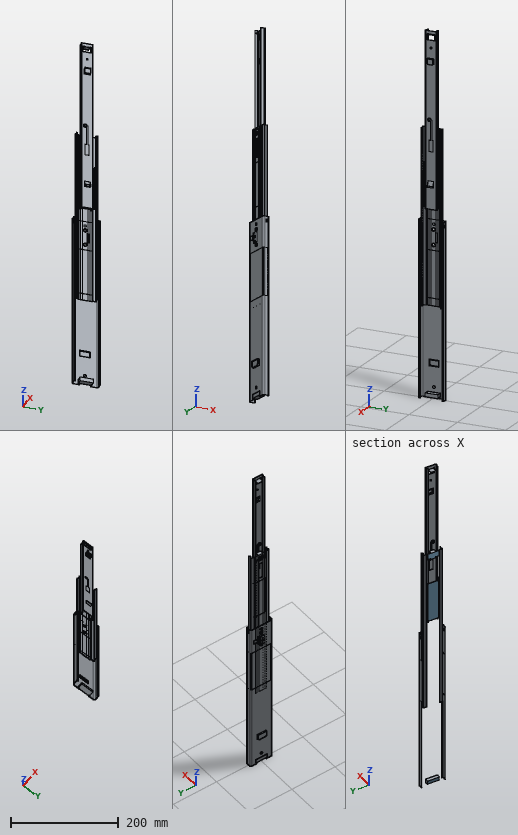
import cadquery as cq

SHEET = 1.2
RAIL_LENGTH = 351.0
FULL_LENGTH = 725.0
MIDDLE_TOP = 532.0

OUTER_BACK = -6.4
OUTER_FRONT = 6.3
OUTER_HALF = 26.0
MIDDLE_BACK = -4.0
MIDDLE_FRONT = 6.15
MIDDLE_HALF = 21.0
MIDDLE_WEB_HALF = 13.0
INNER_BACK = -2.0
INNER_FRONT = 7.0
INNER_HALF = 11.5
FULL_WIDTH = 22.5
HOOK_REACH = FULL_WIDTH / 2

OUTER_INSIDE = OUTER_BACK + SHEET
MIDDLE_INSIDE = MIDDLE_BACK + SHEET
INNER_INSIDE = INNER_FRONT - SHEET
MIDDLE_BOTTOM = MIDDLE_TOP - RAIL_LENGTH
INNER_BOTTOM = FULL_LENGTH - RAIL_LENGTH
CUT_MARGIN = 1.0

ACCESS_HOLES_Z = (331.0, 301.0)
ACCESS_HOLE_DIAMETER = 6.5


def span_box(x_span, y_span, z_span):
    """Box given by its limits along the three axes."""
    (x0, x1), (y0, y1), (z0, z1) = x_span, y_span, z_span
    return cq.Workplane("XY").box(x1 - x0, y1 - y0, z1 - z0, centered=False).translate((x0, y0, z0))


def mirrored_bar(half_outline, bottom, length):
    """Extrude the +Y half of a profile along Z and join it to its mirror image."""
    half = half_outline.close().extrude(length).translate((0, 0, bottom))
    return half.union(half.mirror("XZ")).clean()


def web_cut(web_back, y_half, z_span):
    """Rectangular cutter through a web, centred on Y = 0."""
    x_span = (web_back - CUT_MARGIN, web_back + SHEET + CUT_MARGIN)
    return span_box(x_span, (-y_half, y_half), z_span)


def web_hole(web_back, diameter, z):
    """Round cutter through a web, centred on Y = 0."""
    hole = cq.Workplane("YZ").center(0, z).circle(diameter / 2).extrude(SHEET + 2 * CUT_MARGIN)
    return hole.translate((web_back - CUT_MARGIN, 0, 0))


def hook(face_x, tip_x, half_width, z_span):
    """L-shaped hook: a root at the upper end, carrying a plate that points down."""
    bottom, top = z_span
    plate_x = tip_x - SHEET if tip_x > face_x else tip_x + SHEET
    root = span_box(sorted((face_x, tip_x)), (-half_width, half_width), (top - SHEET, top))
    plate = span_box(sorted((plate_x, tip_x)), (-half_width, half_width), (bottom, top))
    return root.union(plate.edges("|X and <Z").chamfer(half_width / 4))


BEND_RADIUS = 3.5
OUTER_LIP_EDGE = 22.5
SCREW_HOLES_Z = (341.5, 21.0)
SCREW_HOLE_DIAMETER = 5.0
END_NOTCH_HALF = 11.0
STOP_HALF = 13.0
STOP_BOTTOM = 3.0
END_NOTCH_HEIGHT = 11.0
LOWER_HOOK_Z = (61.5, 75.0)
LOWER_HOOK_HALF = 10.0
LOWER_HOOK_TIP = -9.5
PRONG_Y = (-4.0, 1.8)
PRONG_Z = (306.0, 325.5)
PRONG_CHAMFER = 2.0
PRONG_SLOT_WIDTH = 3.0
PRONG_SLOT_DEPTH = 1.8
LANCE_SLOT_Y = (3.5, 8.0)
PAD_Y = (11.0, 19.0)
PAD_Z = (314.0, 322.0)
SIDE_WINDOW_X = (0.0, 3.0)
SIDE_WINDOW_Z = (340.0, 345.0)
PAD_HEIGHT = 1.5


def outer_channel():
    """C channel with a flat web on -X, rounded bends and inward lips on +X."""
    inner_radius = BEND_RADIUS - SHEET
    wall = OUTER_HALF - SHEET
    outline = (
        cq.Workplane("XY")
        .moveTo(OUTER_BACK, 0)
        .lineTo(OUTER_BACK, OUTER_HALF - BEND_RADIUS)
        .radiusArc((OUTER_BACK + BEND_RADIUS, OUTER_HALF), BEND_RADIUS)
        .lineTo(OUTER_FRONT, OUTER_HALF)
        .lineTo(OUTER_FRONT, OUTER_LIP_EDGE)
        .lineTo(OUTER_FRONT - SHEET, OUTER_LIP_EDGE)
        .lineTo(OUTER_FRONT - SHEET, wall)
        .lineTo(OUTER_INSIDE + inner_radius, wall)
        .radiusArc((OUTER_INSIDE, wall - inner_radius), -inner_radius)
        .lineTo(OUTER_INSIDE, 0)
    )
    return mirrored_bar(outline, 0, RAIL_LENGTH)


def prong():
    """Upright bayonet prong on the outer web, slotted at the middle of its tip."""
    block = span_box((-HOOK_REACH, OUTER_BACK), PRONG_Y, PRONG_Z)
    block = block.edges("|Y and <X").chamfer(PRONG_CHAMFER)
    middle_z = sum(PRONG_Z) / 2
    slot_z = (middle_z - PRONG_SLOT_WIDTH / 2, middle_z + PRONG_SLOT_WIDTH / 2)
    return block.cut(span_box((-HOOK_REACH, PRONG_SLOT_DEPTH - HOOK_REACH), PRONG_Y, slot_z))


def make_outer_rail():
    rail = outer_channel()
    for z in ACCESS_HOLES_Z:
        rail = rail.cut(web_hole(OUTER_BACK, ACCESS_HOLE_DIAMETER, z))
    for z in SCREW_HOLES_Z:
        rail = rail.cut(web_hole(OUTER_BACK, SCREW_HOLE_DIAMETER, z))
    rail = rail.cut(web_cut(OUTER_BACK, END_NOTCH_HALF, (0, STOP_BOTTOM)))
    rail = rail.cut(web_cut(OUTER_BACK, STOP_HALF, (STOP_BOTTOM, END_NOTCH_HEIGHT)))
    rail = rail.cut(span_box(SIDE_WINDOW_X, (-OUTER_HALF, OUTER_HALF), SIDE_WINDOW_Z))
    rail = rail.cut(span_box((OUTER_BACK, OUTER_INSIDE), LANCE_SLOT_Y, PRONG_Z))
    lower_window_z = (LOWER_HOOK_Z[0], LOWER_HOOK_Z[1] - SHEET)
    rail = rail.cut(web_cut(OUTER_BACK, LOWER_HOOK_HALF, lower_window_z))
    rail = rail.union(hook(OUTER_INSIDE, LOWER_HOOK_TIP, LOWER_HOOK_HALF, LOWER_HOOK_Z))
    rail = rail.union(prong())
    return rail.union(span_box((OUTER_BACK - PAD_HEIGHT, OUTER_BACK), PAD_Y, PAD_Z))


SHOULDER_X = -2.55
SHOULDER_START = 14.5
SHOULDER_RADIUS = 1.8
RACE_START = 0.4
RACE_END = 6.0
RACE_DEPTH = 1.6
GROOVE_Y = 7.0
GROOVE_WIDTH = 4.0
GROOVE_DEPTH = 0.4
LATCH_NOTCH_BOTTOM = 523.0
CROSS_GROOVE_Z = (518.0, 520.0)
LEVER_SLOT_Z = (473.0, 510.0)
LEVER_SLOT_HALF = 4.0


def middle_channel():
    """C channel with a raised web, stepped shoulders and a concave ball race in each side wall."""
    race_middle = (RACE_START + RACE_END) / 2
    wall = MIDDLE_HALF - SHEET
    shoulder_inside = SHOULDER_X + SHEET
    outline = (
        cq.Workplane("XY")
        .moveTo(MIDDLE_BACK, 0)
        .lineTo(MIDDLE_BACK, MIDDLE_WEB_HALF)
        .lineTo(SHOULDER_X, SHOULDER_START)
        .lineTo(SHOULDER_X, MIDDLE_HALF - SHOULDER_RADIUS)
        .radiusArc((SHOULDER_X + SHOULDER_RADIUS, MIDDLE_HALF), SHOULDER_RADIUS)
        .lineTo(RACE_START, MIDDLE_HALF)
        .threePointArc((race_middle, MIDDLE_HALF - RACE_DEPTH), (RACE_END, MIDDLE_HALF))
        .lineTo(MIDDLE_FRONT, MIDDLE_HALF)
        .lineTo(MIDDLE_FRONT, wall)
        .lineTo(RACE_END, wall)
        .threePointArc((race_middle, wall - RACE_DEPTH), (RACE_START, wall))
        .lineTo(SHOULDER_X + SHOULDER_RADIUS, wall)
        .radiusArc((shoulder_inside, MIDDLE_HALF - SHOULDER_RADIUS), SHEET - SHOULDER_RADIUS)
        .lineTo(shoulder_inside, SHOULDER_START)
        .lineTo(MIDDLE_INSIDE, MIDDLE_WEB_HALF)
        .lineTo(MIDDLE_INSIDE, 0)
    )
    return mirrored_bar(outline, MIDDLE_BOTTOM, RAIL_LENGTH)


def lever_slot():
    """Slot through the middle web with a rounded lower end."""
    bottom, top = LEVER_SLOT_Z
    centre_z = bottom + LEVER_SLOT_HALF
    straight = web_cut(MIDDLE_BACK, LEVER_SLOT_HALF, (centre_z, top))
    return straight.union(web_hole(MIDDLE_BACK, 2 * LEVER_SLOT_HALF, centre_z))


def make_middle_rail():
    rail = middle_channel()
    groove_x = (MIDDLE_BACK, MIDDLE_BACK + GROOVE_DEPTH)
    for y in (-GROOVE_Y, GROOVE_Y):
        groove_y = (y - GROOVE_WIDTH / 2, y + GROOVE_WIDTH / 2)
        rail = rail.cut(span_box(groove_x, groove_y, (MIDDLE_BOTTOM, MIDDLE_TOP)))
    rail = rail.cut(span_box(groove_x, (-MIDDLE_WEB_HALF, MIDDLE_WEB_HALF), CROSS_GROOVE_Z))
    for z in ACCESS_HOLES_Z:
        rail = rail.cut(web_hole(MIDDLE_BACK, ACCESS_HOLE_DIAMETER, z))
    rail = rail.cut(web_cut(MIDDLE_BACK, MIDDLE_WEB_HALF, (LATCH_NOTCH_BOTTOM, MIDDLE_TOP)))
    return rail.cut(lever_slot())


INNER_EDGE_HALF = 11.0
INNER_RACE_END = 4.0
INNER_RACE_DEPTH = 1.0
WINDOW_HALF = 8.0
WINDOW_Z = (707.0, 718.5)
WINDOW_TAB_HALF = 6.0
WINDOW_TAB_TIP = -3.0
PIN_HOLE_Z = 692.0
PIN_HOLE_DIAMETER = 3.0
UPPER_HOOK_Z = (660.0, 671.0)
UPPER_HOOK_HALF = 6.0
RAMP_Z = (418.0, 430.0)
RAMP_HALF = 6.0
RAMP_TIP_HEIGHT = 3.0


def inner_channel():
    """Channel with its web on +X and side walls that curve inward toward their free edges."""
    wall = INNER_HALF - SHEET
    race_middle = (INNER_BACK + INNER_RACE_END) / 2
    waist = INNER_EDGE_HALF - INNER_RACE_DEPTH
    outline = (
        cq.Workplane("XY")
        .moveTo(INNER_FRONT, 0)
        .lineTo(INNER_FRONT, INNER_HALF)
        .lineTo(INNER_RACE_END, INNER_HALF)
        .threePointArc((race_middle, waist), (INNER_BACK, INNER_EDGE_HALF))
        .lineTo(INNER_BACK, INNER_EDGE_HALF - SHEET)
        .threePointArc((race_middle, waist - SHEET), (INNER_RACE_END, wall))
        .lineTo(INNER_INSIDE, wall)
        .lineTo(INNER_INSIDE, 0)
    )
    return mirrored_bar(outline, INNER_BOTTOM, RAIL_LENGTH)


def ramp():
    """Catch on the inner web that slopes outward down to a square tip."""
    bottom, top = RAMP_Z
    side = [
        (INNER_FRONT, top),
        (INNER_FRONT, bottom),
        (HOOK_REACH, bottom),
        (HOOK_REACH, bottom + RAMP_TIP_HEIGHT),
    ]
    return cq.Workplane("XZ").polyline(side).close().extrude(RAMP_HALF, both=True)


def make_inner_rail():
    rail = inner_channel()
    rail = rail.cut(web_cut(INNER_INSIDE, WINDOW_HALF, WINDOW_Z))
    tab_y = (-WINDOW_TAB_HALF, WINDOW_TAB_HALF)
    tab_z = (WINDOW_Z[1] - SHEET, WINDOW_Z[1])
    rail = rail.union(span_box((WINDOW_TAB_TIP, INNER_FRONT), tab_y, tab_z))
    rail = rail.cut(web_hole(INNER_INSIDE, PIN_HOLE_DIAMETER, PIN_HOLE_Z))
    upper_window_z = (UPPER_HOOK_Z[0], UPPER_HOOK_Z[1] - SHEET)
    rail = rail.cut(web_cut(INNER_INSIDE, UPPER_HOOK_HALF, upper_window_z))
    rail = rail.union(hook(INNER_INSIDE, HOOK_REACH, UPPER_HOOK_HALF, UPPER_HOOK_Z))
    return rail.union(ramp())


CAGE_SHEET = 0.6
CAGE_FRONT = 4.0
CAGE_GAP = 0.1
CAGE_SIDE = 1.5
OUTER_CAGE_HALF = 24.0
OUTER_CAGE_WEB_HALF = 22.0
OUTER_CAGE_BEND = 1.5
OUTER_CAGE_Z = (196.0, 290.0)
INNER_CAGE_HALF = 17.0
INNER_CAGE_WEB_HALF = 11.5
INNER_CAGE_BEND = 3.5
INNER_CAGE_Z = (377.0, 464.0)


def make_cage(web_x, half_width, web_half, bend, z_span):
    """U-shaped ball cage: a thin web, sloped corners and two straight sides."""
    side = half_width - CAGE_SIDE
    web_front = web_x + CAGE_SHEET
    outline = cq.Workplane("XY").polyline([
        (web_x, 0),
        (web_x, web_half),
        (web_x + bend, half_width),
        (CAGE_FRONT, half_width),
        (CAGE_FRONT, side),
        (web_x + bend, side),
        (web_front, web_half + CAGE_SHEET),
        (web_front, 0),
    ])
    bottom, top = z_span
    return mirrored_bar(outline, bottom, top - bottom)


STOP_FRONT = 4.0
LATCH_BLOCK_BOTTOM = 517.0
LATCH_BLOCK_HALF = 5.45
LATCH_FRONT = 4.0
LATCH_NOSE_TOP = 528.0
LATCH_PLATE_HALF = 12.0
LATCH_PLATE_BOTTOM = 519.0
LATCH_PLATE_FRONT = -2.25
LEVER_BACK = 4.6
LEVER_HEAD_HALF = 4.0
LEVER_HEAD_Z = (487.0, 510.0)
LEVER_STEM_Y = (-1.5, 1.5)
LEVER_RING_Y = -3.5
LEVER_RING_RADIUS = 3.5
LEVER_RING_BORE = 3.5
LEVER_TOP = 553.0


def make_end_stop():
    """Bumper block that fills the wide part of the notch in the lower end of the outer rail."""
    return span_box((OUTER_BACK, STOP_FRONT), (-STOP_HALF, STOP_HALF), (STOP_BOTTOM, END_NOTCH_HEIGHT))


def make_latch():
    """Latch at the upper end of the middle rail: a plate with a nose and a block on it."""
    plate_y = (-LATCH_PLATE_HALF, LATCH_PLATE_HALF)
    block_y = (-LATCH_BLOCK_HALF, LATCH_BLOCK_HALF)
    plate = span_box((MIDDLE_INSIDE, LATCH_PLATE_FRONT), plate_y, (LATCH_PLATE_BOTTOM, MIDDLE_TOP))
    block = span_box((MIDDLE_INSIDE, LATCH_FRONT), block_y, (LATCH_BLOCK_BOTTOM, MIDDLE_TOP))
    nose = span_box((MIDDLE_BACK, MIDDLE_INSIDE), block_y, (LATCH_NOTCH_BOTTOM, LATCH_NOSE_TOP))
    return plate.union(block).union(nose)


def make_lever():
    """Release lever lying on the inner web: a head, a stem and a finger ring."""
    x_span = (LEVER_BACK, INNER_INSIDE)
    ring_z = LEVER_TOP - LEVER_RING_RADIUS
    head = span_box(x_span, (-LEVER_HEAD_HALF, LEVER_HEAD_HALF), LEVER_HEAD_Z)
    stem = span_box(x_span, LEVER_STEM_Y, (LEVER_HEAD_Z[0], ring_z))
    thickness = INNER_INSIDE - LEVER_BACK
    ring_plane = cq.Workplane("YZ", origin=(LEVER_BACK, LEVER_RING_Y, ring_z))
    ring = ring_plane.circle(LEVER_RING_RADIUS).extrude(thickness)
    bore = ring_plane.circle(LEVER_RING_BORE / 2).extrude(thickness)
    return head.union(stem).union(ring).cut(bore)


outer_rail = make_outer_rail()
middle_rail = make_middle_rail()
inner_rail = make_inner_rail()
outer_cage = make_cage(
    OUTER_INSIDE + CAGE_GAP, OUTER_CAGE_HALF, OUTER_CAGE_WEB_HALF, OUTER_CAGE_BEND, OUTER_CAGE_Z
)
inner_cage = make_cage(
    MIDDLE_INSIDE + CAGE_GAP, INNER_CAGE_HALF, INNER_CAGE_WEB_HALF, INNER_CAGE_BEND, INNER_CAGE_Z
)
end_stop = make_end_stop()
latch = make_latch()
lever = make_lever()

result = cq.Compound.makeCompound([
    outer_rail.val(),
    middle_rail.val(),
    inner_rail.val(),
    outer_cage.val(),
    inner_cage.val(),
    end_stop.val(),
    latch.val(),
    lever.val(),
])